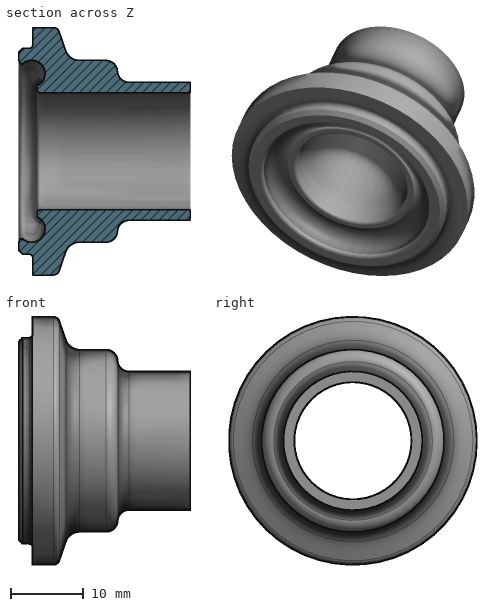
import cadquery as cq
import math

length = 23.5
flange_front = 1.87
wall_end = 13.55
lip_crest = 2.48

flange_radius = 17.0
collar_radius = 28.3 / 2
body_radius = 25.0 / 2
tube_radius = 19.0 / 2
bore_radius = 16.0 / 2
mouth_radius = 11.95
lip_radius = 9.18

collar_chamfer = 0.55
collar_fillet = 0.4
flange_round = 0.9
body_fillet = 1.95
shoulder_round = 1.63
neck_fillet = 1.53
mouth_round = 0.5
lip_outer_round = 0.35
lip_inner_round = 0.4

flange_round_start = 4.73
cone_angle = math.radians(71)

groove_floor = (3.57, 10.75)


def arc_point(center, radius, angle):
    """Point on a circle in the (axial, radial) half plane."""
    return (center[0] + radius * math.cos(angle), center[1] + radius * math.sin(angle))


def add_arc(profile, center, radius, start, end):
    """Extend the profile along a circular arc between two angles in radians."""
    middle = arc_point(center, radius, (start + end) / 2)
    return profile.threePointArc(middle, arc_point(center, radius, end))


quarter = math.pi / 2
cone_normal = quarter - cone_angle

flange_center = (flange_round_start, flange_radius - flange_round)
cone_start = arc_point(flange_center, flange_round, cone_normal)
cone_end_radius = body_radius + body_fillet * (1 - math.cos(cone_angle))
cone_end_x = cone_start[0] + (cone_start[1] - cone_end_radius) / math.tan(cone_angle)
body_center = (cone_end_x + body_fillet * math.sin(cone_angle), body_radius + body_fillet)

profile = (
    cq.Workplane("XY")
    .moveTo(0, mouth_radius + mouth_round)
    .lineTo(0, collar_radius - collar_chamfer)
    .lineTo(collar_chamfer, collar_radius)
    .lineTo(flange_front - collar_fillet, collar_radius)
)
collar_center = (flange_front - collar_fillet, collar_radius + collar_fillet)
profile = add_arc(profile, collar_center, collar_fillet, -quarter, 0)
profile = profile.lineTo(flange_front, flange_radius).lineTo(flange_round_start, flange_radius)
profile = add_arc(profile, flange_center, flange_round, quarter, cone_normal)
profile = profile.lineTo(cone_end_x, cone_end_radius)
profile = add_arc(profile, body_center, body_fillet, math.pi + cone_normal, math.pi + quarter)
profile = profile.lineTo(wall_end - shoulder_round, body_radius)
shoulder_center = (wall_end - shoulder_round, body_radius - shoulder_round)
profile = add_arc(profile, shoulder_center, shoulder_round, quarter, 0)

neck_rise = tube_radius + neck_fillet - shoulder_center[1]
neck_start = math.pi + math.asin(neck_rise / neck_fillet)
neck_center = (wall_end - neck_fillet * math.cos(neck_start), tube_radius + neck_fillet)
profile = add_arc(profile, neck_center, neck_fillet, neck_start, math.pi + quarter)
profile = profile.lineTo(length, tube_radius).lineTo(length, bore_radius)

profile = profile.lineTo(lip_crest + lip_inner_round, bore_radius)
lip_inner_center = (lip_crest + lip_inner_round, bore_radius + lip_inner_round)
profile = add_arc(profile, lip_inner_center, lip_inner_round, -quarter, -math.pi)
profile = profile.lineTo(lip_crest, lip_radius - lip_outer_round)
lip_outer_center = (lip_crest + lip_outer_round, lip_radius - lip_outer_round)
profile = add_arc(profile, lip_outer_center, lip_outer_round, math.pi, quarter)
profile = profile.threePointArc(groove_floor, (mouth_round, mouth_radius))
mouth_center = (mouth_round, mouth_radius + mouth_round)
profile = add_arc(profile, mouth_center, mouth_round, -quarter, -math.pi)

result = profile.close().revolve(360, (0, 0, 0), (1, 0, 0))